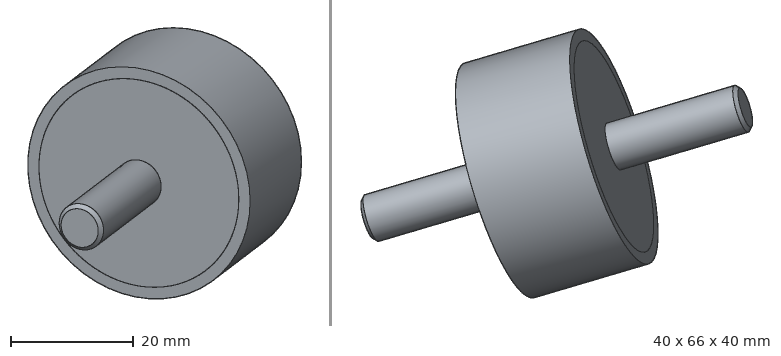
import cadquery as cq

overall_length = 66.0
rubber_diameter = 40.0
rubber_length = 20.0
plate_diameter = 36.0
plate_thickness = 2.0
stud_diameter = 8.0
tip_chamfer = 0.65

end_face = rubber_length / 2
stud_tip = overall_length / 2
stud_length = stud_tip - end_face


def y_cylinder(diameter, start, length):
    """Cylinder on the Y axis, running from start toward +Y."""
    plane = cq.Workplane("XZ", origin=(0, start, 0))
    return plane.circle(diameter / 2).extrude(-length)


def make_rubber_block():
    """Rubber cylinder with a plate recess in each end face."""
    block = y_cylinder(rubber_diameter, -end_face, rubber_length)
    for recess_start in (-end_face, end_face - plate_thickness):
        block = block.cut(y_cylinder(plate_diameter, recess_start, plate_thickness))
    return block


def make_plated_stud():
    """Chamfered stud and its round plate, one piece, for the +Y end."""
    stud = y_cylinder(stud_diameter, end_face, stud_length).faces(">Y").chamfer(tip_chamfer)
    plate = y_cylinder(plate_diameter, end_face - plate_thickness, plate_thickness)
    return plate.union(stud)


rubber_block = make_rubber_block()

plated_studs = []
for turn in (0, 180):
    plated_stud = make_plated_stud().rotate((0, 0, 0), (0, 0, 1), turn)
    plated_studs.append(plated_stud.val())

result = cq.Compound.makeCompound([rubber_block.val(), *plated_studs])